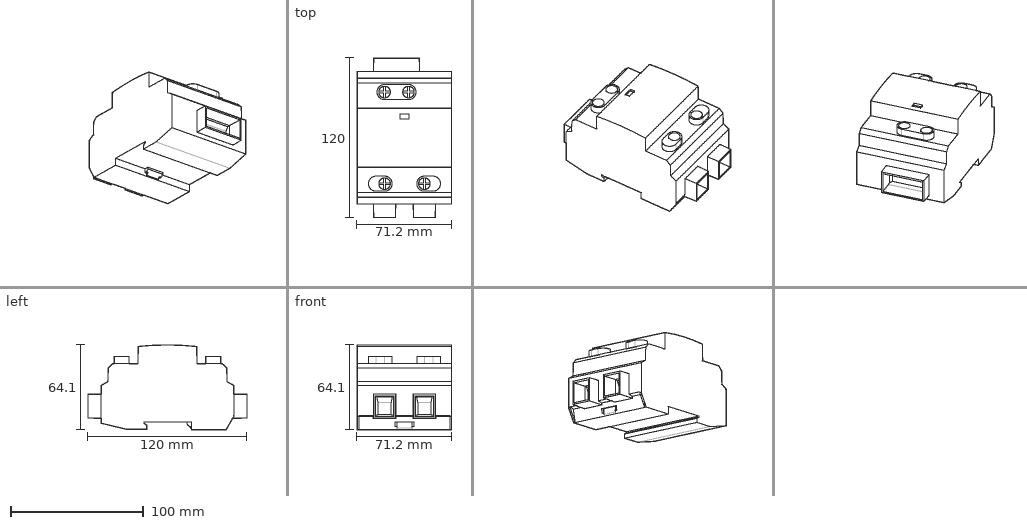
import cadquery as cq
import math

WIDTH = 71.2
HALF_DEPTH = 50.0
SHOULDER_Z = 33.5
STEP_Z = 36.4
STEP_Y = 45.0
DECK_CHAMFER_Z = 46.7
DECK_CHAMFER_Y = 44.7
DECK_Z = 50.0
DECK_EDGE_Y = 41.3
CENTRE_FOOT_Y = 22.35
CENTRE_TOP_Y = 22.1
CENTRE_EDGE_Z = 62.88
TOP_Z = 64.1

FRONT_SLOPE_Y = -44.2
FRONT_SLOPE_Z = 10.2
CHANNEL_Z = 5.85
CHANNEL_FRONT_Y = -18.05
CHANNEL_REAR_Y = 17.65
FOOT_Z = 0.4
FOOT_TIP_Y = 15.45
FOOT_TIP_Z = 3.65
FOOT_ROOT_Z = 4.9
REAR_SLOPE_Y = 30.9
REAR_SLOPE_Z = 4.95

RECESS_SIDE_WALL = 1.5
RECESS_PANEL_ANGLE = 12.0
RECESS_PANEL_TOP_Z = 10.0
RECESS_MOUTH_Z = 11.0

LATCH_HALF_WIDTH = 7.15
LATCH_BEVEL = 1.5
LATCH_WIDE_Z = 2.6
GRIP_BOTTOM_Z = 1.3
HOOK_TIP_Y = -14.6
HOOK_TIP_Z = 4.35
HOOK_BOTTOM_Z = 0.9

FRONT_TERMINALS_X = (-15.0, 15.0)
REAR_TERMINALS_X = (-15.0, 3.0)

BOSS_Y = 34.5
BOSS_RADIUS = 5.7
BOSS_TOP_Z = 55.4
FRONT_BOSS_OVERRUN = 6.4
SCREW_HOLE_DIAMETER = 8.7
SCREW_HEAD_Z = 46.0
SCREW_SLOT_LENGTH = 8.6
SCREW_SLOT_WIDTH = 1.3
SCREW_SLOT_DEPTH = 1.0

SLEEVE_TIP_Y = 60.0
SLEEVE_TIP_HALF_WIDTH = 8.25
SLEEVE_TOP_Z = 27.0
SLEEVE_TIP_BOTTOM_Z = 8.9
SLEEVE_DRAFT = 0.35
SLEEVE_SIDE_WALL = 1.15
SLEEVE_TOP_WALL = 1.4
SLEEVE_BOTTOM_WALL = 1.2
RAMP_Y = 49.5
RAMP_RISE = 1.0
FUNNEL_Y = 47.5
FUNNEL_DEPTH = 1.75
FUNNEL_ROOF_DEPTH = 0.9
FUNNEL_ROOF_DROP = 0.9
FUNNEL_BACK_TOP_Z = 20.8

WINDOW_LENGTH = 7.0
WINDOW_REAR_Y = 18.0
WINDOW_FRONT_Y = 14.05
WINDOW_FLOOR_Z = 61.8


def extrude_profile(points, half_width):
    """Extrude a closed (Y, Z) outline symmetrically about the YZ plane."""
    return cq.Workplane("YZ").polyline(points).close().extrude(half_width, both=True)


def box_between(x_range, y_range, z_range):
    size = [high - low for low, high in (x_range, y_range, z_range)]
    return cq.Workplane("XY").box(*size, centered=False).translate((x_range[0], y_range[0], z_range[0]))


def make_housing():
    return (
        cq.Workplane("YZ")
        .moveTo(CHANNEL_FRONT_Y, 0)
        .lineTo(FRONT_SLOPE_Y, 0)
        .lineTo(-HALF_DEPTH, FRONT_SLOPE_Z)
        .lineTo(-HALF_DEPTH, SHOULDER_Z)
        .lineTo(-STEP_Y, STEP_Z)
        .lineTo(-DECK_CHAMFER_Y, DECK_CHAMFER_Z)
        .lineTo(-DECK_EDGE_Y, DECK_Z)
        .lineTo(-CENTRE_FOOT_Y, DECK_Z)
        .lineTo(-CENTRE_TOP_Y, CENTRE_EDGE_Z)
        .threePointArc((0, TOP_Z), (CENTRE_TOP_Y, CENTRE_EDGE_Z))
        .lineTo(CENTRE_FOOT_Y, DECK_Z)
        .lineTo(DECK_EDGE_Y, DECK_Z)
        .lineTo(DECK_CHAMFER_Y, DECK_CHAMFER_Z)
        .lineTo(STEP_Y, STEP_Z)
        .lineTo(HALF_DEPTH, SHOULDER_Z)
        .lineTo(HALF_DEPTH, REAR_SLOPE_Z)
        .lineTo(REAR_SLOPE_Y, FOOT_Z)
        .lineTo(FOOT_TIP_Y, FOOT_Z)
        .lineTo(FOOT_TIP_Y, FOOT_TIP_Z)
        .lineTo(CHANNEL_REAR_Y, FOOT_ROOT_Z)
        .lineTo(CHANNEL_REAR_Y, CHANNEL_Z)
        .lineTo(CHANNEL_FRONT_Y, CHANNEL_Z)
        .close()
        .extrude(WIDTH / 2, both=True)
    )


def panel_y(z):
    """Y of the recess panel at height z."""
    return FRONT_SLOPE_Y - z * math.tan(math.radians(RECESS_PANEL_ANGLE))


def make_front_recess():
    points = [
        (FRONT_SLOPE_Y, 0),
        (panel_y(RECESS_PANEL_TOP_Z), RECESS_PANEL_TOP_Z),
        (-HALF_DEPTH, RECESS_MOUTH_Z),
        (-HALF_DEPTH, 0),
    ]
    return extrude_profile(points, WIDTH / 2 - RECESS_SIDE_WALL)


def make_grip_pocket():
    """Pocket around the latch grip: an upright face flanked by 45 degree bevels."""
    grip_y = panel_y(GRIP_BOTTOM_Z)
    face_half_width = LATCH_HALF_WIDTH - LATCH_BEVEL
    outer_y = panel_y(CHANNEL_Z)
    face = box_between(
        (-face_half_width, face_half_width), (outer_y, grip_y), (GRIP_BOTTOM_Z, CHANNEL_Z)
    )
    bevels = (
        cq.Workplane("XY", origin=(0, 0, LATCH_WIDE_Z))
        .polyline([
            (-LATCH_HALF_WIDTH, outer_y),
            (-LATCH_HALF_WIDTH, grip_y + LATCH_BEVEL),
            (-face_half_width, grip_y),
            (face_half_width, grip_y),
            (LATCH_HALF_WIDTH, grip_y + LATCH_BEVEL),
            (LATCH_HALF_WIDTH, outer_y),
        ])
        .close()
        .extrude(CHANNEL_Z - LATCH_WIDE_Z)
    )
    return face.union(bevels)


def make_latch_hook():
    """Wedge hook in the rail channel, narrower below LATCH_WIDE_Z."""
    profile = [
        (CHANNEL_FRONT_Y, HOOK_BOTTOM_Z),
        (HOOK_TIP_Y, HOOK_TIP_Z),
        (HOOK_TIP_Y, CHANNEL_Z),
        (CHANNEL_FRONT_Y, CHANNEL_Z),
    ]
    narrow = extrude_profile(profile, LATCH_HALF_WIDTH - LATCH_BEVEL)
    wide = extrude_profile(profile, LATCH_HALF_WIDTH)
    upper = box_between(
        (-LATCH_HALF_WIDTH, LATCH_HALF_WIDTH), (CHANNEL_FRONT_Y, HOOK_TIP_Y), (LATCH_WIDE_Z, CHANNEL_Z)
    )
    return narrow.union(wide.intersect(upper))


def make_boss(x_start, x_end, y):
    """Rounded boss on a deck, with its end centres at x_start and x_end."""
    length = x_end - x_start + 2 * BOSS_RADIUS
    return (
        cq.Workplane("XY", origin=((x_start + x_end) / 2, y, DECK_Z))
        .slot2D(length, 2 * BOSS_RADIUS)
        .extrude(BOSS_TOP_Z - DECK_Z)
    )


def make_screw_hole(x, y):
    """Blind hole down to the screw head, with a cross slot in the head."""
    head = cq.Workplane("XY", origin=(x, y, SCREW_HEAD_Z))
    hole = head.circle(SCREW_HOLE_DIAMETER / 2).extrude(BOSS_TOP_Z - SCREW_HEAD_Z)
    for length, width in ((SCREW_SLOT_LENGTH, SCREW_SLOT_WIDTH), (SCREW_SLOT_WIDTH, SCREW_SLOT_LENGTH)):
        hole = hole.union(head.rect(length, width).extrude(-SCREW_SLOT_DEPTH))
    return hole


def loft_front(y_start, start, y_end, end):
    """Ruled solid between two upright rectangles, each (x_min, x_max, z_min, z_max)."""
    wires = []
    for y, (x_min, x_max, z_min, z_max) in ((y_start, start), (y_end, end)):
        corners = [(x_min, y, z_min), (x_max, y, z_min), (x_max, y, z_max), (x_min, y, z_max)]
        wires.append(cq.Wire.makePolygon([cq.Vector(*corner) for corner in corners], close=True))
    return cq.Workplane(obj=cq.Solid.makeLoft(wires, True))


def make_sleeve(x_first, x_last):
    """Solid front sleeve that spans the terminals from x_first to x_last."""
    x_min = x_first - SLEEVE_TIP_HALF_WIDTH
    x_max = x_last + SLEEVE_TIP_HALF_WIDTH
    tip = (x_min, x_max, SLEEVE_TIP_BOTTOM_Z, SLEEVE_TOP_Z)
    root = (x_min - SLEEVE_DRAFT, x_max + SLEEVE_DRAFT, SLEEVE_TIP_BOTTOM_Z - SLEEVE_DRAFT, SLEEVE_TOP_Z)
    return loft_front(-SLEEVE_TIP_Y, tip, FUNNEL_DEPTH - FUNNEL_Y, root)


def make_sleeve_cavity(x_first, x_last):
    """Drafted bore of a front sleeve and the funnel behind it, as plan outline meets side outline."""
    tip_half_width = SLEEVE_TIP_HALF_WIDTH - SLEEVE_SIDE_WALL
    mouth_half_width = tip_half_width - SLEEVE_DRAFT
    back_half_width = mouth_half_width - FUNNEL_DEPTH
    back_y = FUNNEL_DEPTH - FUNNEL_Y
    plan = (
        cq.Workplane("XY")
        .polyline([
            (x_first - tip_half_width, -SLEEVE_TIP_Y),
            (x_last + tip_half_width, -SLEEVE_TIP_Y),
            (x_last + mouth_half_width, -FUNNEL_Y),
            (x_last + back_half_width, back_y),
            (x_first - back_half_width, back_y),
            (x_first - mouth_half_width, -FUNNEL_Y),
        ])
        .close()
        .extrude(SLEEVE_TOP_Z)
    )
    tip_floor_z = SLEEVE_TIP_BOTTOM_Z + SLEEVE_BOTTOM_WALL
    ramp_z = tip_floor_z + SLEEVE_DRAFT
    roof_z = SLEEVE_TOP_Z - SLEEVE_TOP_WALL
    side = extrude_profile(
        [
            (-SLEEVE_TIP_Y, tip_floor_z),
            (-SLEEVE_TIP_Y, roof_z),
            (-FUNNEL_Y, roof_z),
            (FUNNEL_ROOF_DEPTH - FUNNEL_Y, roof_z - FUNNEL_ROOF_DROP),
            (back_y, FUNNEL_BACK_TOP_Z),
            (back_y, ramp_z + RAMP_RISE),
            (-RAMP_Y, ramp_z),
        ],
        WIDTH / 2,
    )
    return plan.intersect(side)


def make_window():
    half_length = WINDOW_LENGTH / 2
    return box_between(
        (-half_length, half_length), (WINDOW_FRONT_Y, WINDOW_REAR_Y), (WINDOW_FLOOR_Z, TOP_Z)
    )


result = make_housing().cut(make_front_recess()).cut(make_grip_pocket()).union(make_latch_hook())

for x in FRONT_TERMINALS_X:
    result = result.union(make_sleeve(x, x)).cut(make_sleeve_cavity(x, x))
result = result.union(make_sleeve(*REAR_TERMINALS_X).mirror("XZ"))
result = result.cut(make_sleeve_cavity(*REAR_TERMINALS_X).mirror("XZ"))

left_x, right_x = FRONT_TERMINALS_X
result = result.union(make_boss(left_x - FRONT_BOSS_OVERRUN, left_x, -BOSS_Y))
result = result.union(make_boss(right_x, right_x + FRONT_BOSS_OVERRUN, -BOSS_Y))
result = result.union(make_boss(*REAR_TERMINALS_X, BOSS_Y))
for screws_x, screws_y in ((FRONT_TERMINALS_X, -BOSS_Y), (REAR_TERMINALS_X, BOSS_Y)):
    for screw_x in screws_x:
        result = result.cut(make_screw_hole(screw_x, screws_y))

result = result.cut(make_window())